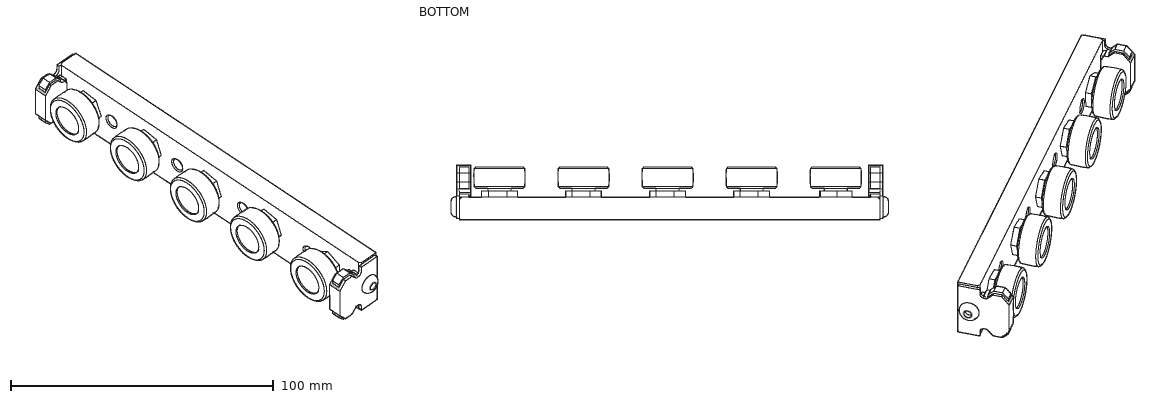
import cadquery as cq
import math

BAR_LENGTH = 159.8
BAR_HEIGHT = 24.0
BAR_FRONT_Y = 1.7
BAR_BACK_Y = 10.3
BAR_CHAMFER = 0.8
HOLE_DIAMETER = 4.8
HOLE_COUNTERSINK_DIAMETER = 5.8
HOLE_COUNTERSINK_DEPTH = 0.5
HOLE_SPACING = 35.0
HOLE_COUNT = 4

ROLLER_COUNT = 5
ROLLER_SPACING = 32.0
ROLLER_ROW_CENTER_X = -0.8
ROLLER_OFFSETS_Z = [0.0, 0.7, 0.0, 0.7, 0.2]
COLLAR_TURNS = [6.0, 9.0, 9.0, 9.0, 26.0]
ROLLER_DIAMETER = 19.6
ROLLER_CROWN = 0.2
ROLLER_BACK_Y = -1.7
ROLLER_FRONT_Y = -9.8
ROLLER_CHAMFER = 0.7
RECESS_DIAMETER = 12.2
RECESS_DEPTH = 0.7
NECK_DIAMETER = 8.8
COLLAR_ACROSS_FLATS = 12.0
COLLAR_THICKNESS = 2.3

PLATE_THICKNESS = 1.2
PLATE_BACK_GAP = 0.5
PLATE_TOP_GAP = 0.8
FOOT_THICKNESS = 5.5
FOOT_FRONT_Y = -10.5
FOOT_HALF_HEIGHT = 9.8
FOOT_FRONT_HALF_HEIGHT = 6.3
FOOT_SLOPE_FRONT_Y = -10.2
FOOT_SLOPE_FRONT_HALF_HEIGHT = 6.8
FOOT_BACK_HALF_HEIGHT = 5.3
FOOT_WAIST_BACK_Y = 0.0
FOOT_SLOPE_BACK_Y = -1.5
FOOT_CREST_BACK_Y = -4.0
FOOT_CREST_FRONT_Y = -7.5
GROOVE_BACK_Y = 1.2
GROOVE_RADIUS = 1.8
WAIST_HALF_HEIGHT = 7.3
STRIP_THICKNESS = 3.5
STRIP_PROUD = 1.0
STRIP_FRONT_Y = -9.8
STRIP_BACK_HALF_HEIGHT = 6.5

SCREW_Y = 5.3
HEAD_DIAMETER = 7.8
HEAD_ROUNDING = 2.0
SOCKET_DIAMETER = 3.0
SOCKET_DEPTH = 1.7
OVERALL_LENGTH = 166.5

BAR_END_X = BAR_LENGTH / 2
PLATE_FACE_X = BAR_END_X + PLATE_THICKNESS
HEAD_HEIGHT = OVERALL_LENGTH / 2 - PLATE_FACE_X


def cylinder_along_y(diameter, back_y, front_y):
    """A cylinder on the Y axis between two Y positions."""
    return cq.Workplane("XZ", origin=(0, back_y, 0)).circle(diameter / 2).extrude(back_y - front_y)


def make_bar():
    bar = cq.Workplane("XY").box(BAR_LENGTH, BAR_BACK_Y - BAR_FRONT_Y, BAR_HEIGHT)
    bar = bar.translate((0, (BAR_BACK_Y + BAR_FRONT_Y) / 2, 0))
    bar = bar.edges("|Z and <Y").chamfer(BAR_CHAMFER)
    countersink_angle = 2 * math.degrees(
        math.atan((HOLE_COUNTERSINK_DIAMETER - HOLE_DIAMETER) / 2 / HOLE_COUNTERSINK_DEPTH)
    )
    return (
        bar.faces("<Y")
        .workplane(origin=(0, BAR_FRONT_Y, 0))
        .rarray(HOLE_SPACING, 1.7, HOLE_COUNT, 1)
        .cskHole(HOLE_DIAMETER, HOLE_COUNTERSINK_DIAMETER, countersink_angle)
    )


def make_disc():
    """The chamfered disc of a roller, turned about the Y axis with a crowned rim."""
    crown_radius = ROLLER_DIAMETER / 2
    rim_radius = crown_radius - ROLLER_CROWN
    face_radius = rim_radius - ROLLER_CHAMFER
    return (
        cq.Workplane("XY")
        .moveTo(0, ROLLER_BACK_Y)
        .lineTo(face_radius, ROLLER_BACK_Y)
        .lineTo(rim_radius, ROLLER_BACK_Y - ROLLER_CHAMFER)
        .threePointArc(
            (crown_radius, (ROLLER_BACK_Y + ROLLER_FRONT_Y) / 2),
            (rim_radius, ROLLER_FRONT_Y + ROLLER_CHAMFER),
        )
        .lineTo(face_radius, ROLLER_FRONT_Y)
        .lineTo(0, ROLLER_FRONT_Y)
        .close()
        .revolve(360, (0, 0, 0), (0, 1, 0))
    )


def make_roller(index):
    disc = make_disc()
    recess = cylinder_along_y(RECESS_DIAMETER, ROLLER_FRONT_Y + RECESS_DEPTH, ROLLER_FRONT_Y)
    neck = cylinder_along_y(NECK_DIAMETER, BAR_FRONT_Y, ROLLER_BACK_Y)
    corner_diameter = COLLAR_ACROSS_FLATS / math.cos(math.pi / 6)
    collar = (
        cq.Workplane("XZ", origin=(0, BAR_FRONT_Y, 0))
        .polygon(6, corner_diameter)
        .extrude(COLLAR_THICKNESS)
        .rotate((0, 0, 0), (0, 1, 0), COLLAR_TURNS[index])
    )
    x = ROLLER_ROW_CENTER_X + (index - (ROLLER_COUNT - 1) / 2) * ROLLER_SPACING
    return disc.cut(recess).union(neck).union(collar).translate((x, 0, ROLLER_OFFSETS_Z[index]))


def extrude_mirrored(upper_half, start_x, thickness):
    """Extrude an outline above Z = 0 along +X and join it to its mirror image below."""
    upper = upper_half.close().extrude(thickness).translate((start_x, 0, 0))
    return upper.union(upper.mirror("XY"))


def make_wiper():
    """The wiper of the +X end: plate, foot and felt strip as one piece."""
    plate_back_y = BAR_BACK_Y - PLATE_BACK_GAP
    plate_top = BAR_HEIGHT / 2 - PLATE_TOP_GAP
    groove_center_y = GROOVE_BACK_Y - GROOVE_RADIUS
    groove_center_z = WAIST_HALF_HEIGHT + GROOVE_RADIUS
    arc_reach = GROOVE_RADIUS * math.sqrt(0.5)
    strip_half_height = FOOT_HALF_HEIGHT + STRIP_PROUD
    strip_drop = FOOT_CREST_FRONT_Y - STRIP_FRONT_Y
    strip_back_y = FOOT_CREST_BACK_Y + strip_drop

    plate = extrude_mirrored(
        cq.Workplane("YZ")
        .moveTo(plate_back_y, 0)
        .lineTo(plate_back_y, plate_top)
        .lineTo(GROOVE_BACK_Y, plate_top)
        .lineTo(GROOVE_BACK_Y, groove_center_z)
        .threePointArc(
            (groove_center_y + arc_reach, groove_center_z - arc_reach),
            (groove_center_y, WAIST_HALF_HEIGHT),
        )
        .lineTo(groove_center_y, 0),
        BAR_END_X,
        PLATE_THICKNESS,
    )
    foot = extrude_mirrored(
        cq.Workplane("YZ")
        .moveTo(GROOVE_BACK_Y, 0)
        .lineTo(GROOVE_BACK_Y, FOOT_BACK_HALF_HEIGHT)
        .lineTo(FOOT_WAIST_BACK_Y, WAIST_HALF_HEIGHT)
        .lineTo(FOOT_SLOPE_BACK_Y, WAIST_HALF_HEIGHT)
        .lineTo(FOOT_CREST_BACK_Y, FOOT_HALF_HEIGHT)
        .lineTo(FOOT_CREST_FRONT_Y, FOOT_HALF_HEIGHT)
        .lineTo(FOOT_SLOPE_FRONT_Y, FOOT_SLOPE_FRONT_HALF_HEIGHT)
        .lineTo(FOOT_FRONT_Y, FOOT_FRONT_HALF_HEIGHT)
        .lineTo(FOOT_FRONT_Y, 0),
        PLATE_FACE_X - FOOT_THICKNESS,
        FOOT_THICKNESS,
    )
    strip = extrude_mirrored(
        cq.Workplane("YZ")
        .moveTo(BAR_FRONT_Y, 0)
        .lineTo(BAR_FRONT_Y, STRIP_BACK_HALF_HEIGHT)
        .lineTo(strip_back_y, STRIP_BACK_HALF_HEIGHT)
        .lineTo(strip_back_y, strip_half_height - strip_drop)
        .lineTo(FOOT_CREST_BACK_Y, strip_half_height)
        .lineTo(FOOT_CREST_FRONT_Y, strip_half_height)
        .lineTo(STRIP_FRONT_Y, strip_half_height - strip_drop)
        .lineTo(STRIP_FRONT_Y, 0),
        BAR_END_X - STRIP_THICKNESS,
        STRIP_THICKNESS,
    )
    return plate.union(foot).union(strip)


def make_screw_head():
    """The rounded screw head of the +X end, with a round socket."""
    return (
        cq.Workplane("YZ", origin=(PLATE_FACE_X, SCREW_Y, 0))
        .circle(HEAD_DIAMETER / 2)
        .extrude(HEAD_HEIGHT)
        .faces(">X")
        .edges()
        .fillet(HEAD_ROUNDING)
        .faces(">X")
        .workplane()
        .hole(SOCKET_DIAMETER, SOCKET_DEPTH)
    )


bar = make_bar()
rollers = [make_roller(index) for index in range(ROLLER_COUNT)]
wiper = make_wiper()
screw_head = make_screw_head()
wipers = [wiper, wiper.mirror("YZ")]
screw_heads = [screw_head, screw_head.mirror("YZ")]

bodies = [bar, *rollers, *wipers, *screw_heads]
result = cq.Compound.makeCompound([body.val() for body in bodies])